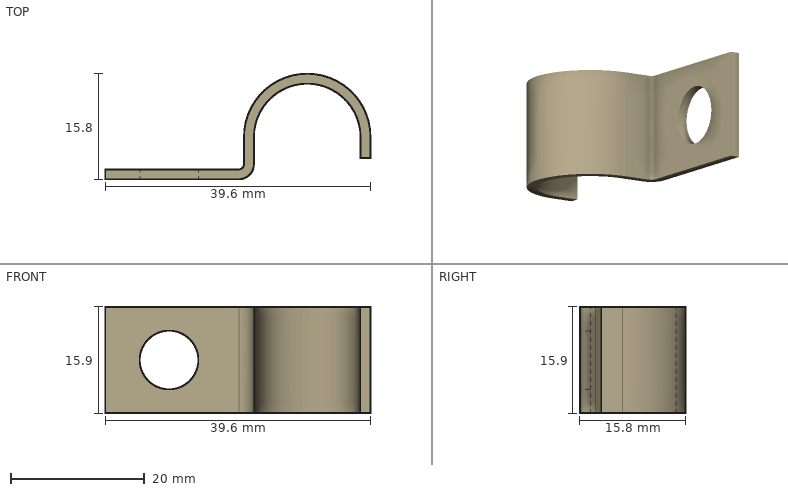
import cadquery as cq
import math

width = 15.88
thickness = 1.52
overall_length = 39.61
overall_depth = 15.8

inner_radius = 7.94
outer_radius = inner_radius + thickness
free_leg_length = 3.17

bend_inner_radius = 0.76
bend_outer_radius = bend_inner_radius + thickness

hole_diameter = 8.73
hole_from_end = 9.52

foot_end_x = outer_radius - overall_length
foot_bottom_y = outer_radius - overall_depth
foot_top_y = foot_bottom_y + thickness
bend_x = -outer_radius - bend_inner_radius
bend_y = foot_top_y + bend_inner_radius
DIAGONAL = math.sqrt(0.5)


def bend_midpoint(radius):
    """Middle of a quarter arc of the foot bend, on its lower right side."""
    return (bend_x + radius * DIAGONAL, bend_y - radius * DIAGONAL)


def make_strip():
    """Bent sheet: foot, bend, half-circle saddle and free leg."""
    profile = (
        cq.Workplane("XY")
        .workplane(offset=-width / 2)
        .moveTo(foot_end_x, foot_bottom_y)
        .lineTo(bend_x, foot_bottom_y)
        .threePointArc(bend_midpoint(bend_outer_radius), (-inner_radius, bend_y))
        .lineTo(-inner_radius, 0)
        .threePointArc((0, inner_radius), (inner_radius, 0))
        .lineTo(inner_radius, -free_leg_length)
        .lineTo(outer_radius, -free_leg_length)
        .lineTo(outer_radius, 0)
        .threePointArc((0, outer_radius), (-outer_radius, 0))
        .lineTo(-outer_radius, bend_y)
        .threePointArc(bend_midpoint(bend_inner_radius), (bend_x, foot_top_y))
        .lineTo(foot_end_x, foot_top_y)
        .close()
    )
    return profile.extrude(width)


def make_hole_cutter():
    """Cylinder through the foot only, along Y."""
    return (
        cq.Workplane("XZ", origin=(foot_end_x + hole_from_end, foot_top_y, 0))
        .circle(hole_diameter / 2)
        .extrude(thickness)
    )


result = make_strip().cut(make_hole_cutter())